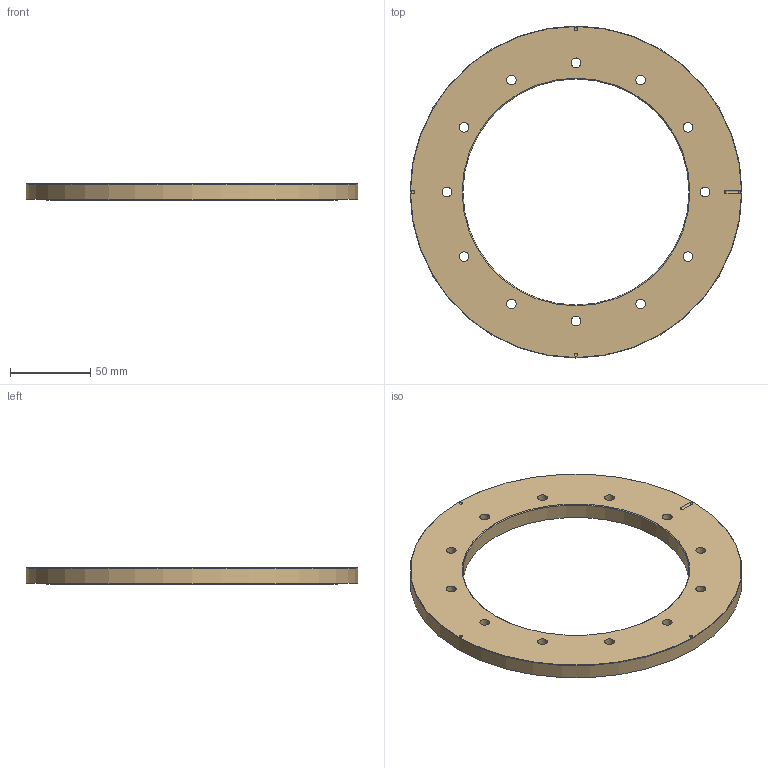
import cadquery as cq

outer_diameter = 206.26
bore_diameter = 140.5
thickness = 10.0
bore_chamfer = 0.5
rim_chamfer = 0.25

register_diameter = 180.5
register_height = 0.5

bolt_count = 12
bolt_hole_diameter = 6.0
bolt_circle_diameter = (bore_diameter + register_diameter) / 2

mark_diameter = 2.0
mark_edge_distance = 2.0
line_length = 10.0

outer_radius = outer_diameter / 2
mark_radius = mark_diameter / 2
mark_center_radius = outer_radius - mark_edge_distance
line_inner_radius = mark_center_radius - (line_length - mark_diameter)


def make_ring():
    """Flanged ring with a shallow register below; the top edges are chamfered."""
    register = cq.Workplane("XY").circle(register_diameter / 2).extrude(register_height)
    flange = (
        cq.Workplane("XY")
        .workplane(offset=register_height)
        .circle(outer_radius)
        .extrude(thickness - register_height)
    )
    bore = cq.Workplane("XY").circle(bore_diameter / 2).extrude(thickness)
    ring = register.union(flange).cut(bore)
    inner_edge = cq.selectors.RadiusNthSelector(0)
    outer_edge = cq.selectors.RadiusNthSelector(-1)
    ring = ring.faces(">Z").edges(inner_edge).chamfer(bore_chamfer)
    return ring.faces(">Z").edges(outer_edge).chamfer(rim_chamfer)


def make_bolt_holes():
    """Through holes spaced evenly on the bolt circle, one of them on +X."""
    return (
        cq.Workplane("XY")
        .polarArray(bolt_circle_diameter / 2, 0, 360, bolt_count)
        .circle(bolt_hole_diameter / 2)
        .extrude(thickness)
    )


def make_dot(angle):
    """Hemispherical dimple in the top face at the given angle from +X."""
    ball = cq.Workplane("XY").sphere(mark_radius)
    return ball.translate((mark_center_radius, 0, thickness)).rotate((0, 0, 0), (0, 0, 1), angle)


def make_line():
    """Radial round-bottomed groove in the top face on +X, with spherical ends."""
    return (
        cq.Workplane("XY", origin=(0, 0, thickness))
        .moveTo(line_inner_radius - mark_radius, 0)
        .radiusArc((line_inner_radius, mark_radius), mark_radius)
        .lineTo(mark_center_radius, mark_radius)
        .radiusArc((mark_center_radius + mark_radius, 0), mark_radius)
        .close()
        .revolve(360, (0, 0, 0), (1, 0, 0))
    )


result = make_ring().cut(make_bolt_holes()).cut(make_line())
for dot_angle in (90, 180, 270):
    result = result.cut(make_dot(dot_angle))